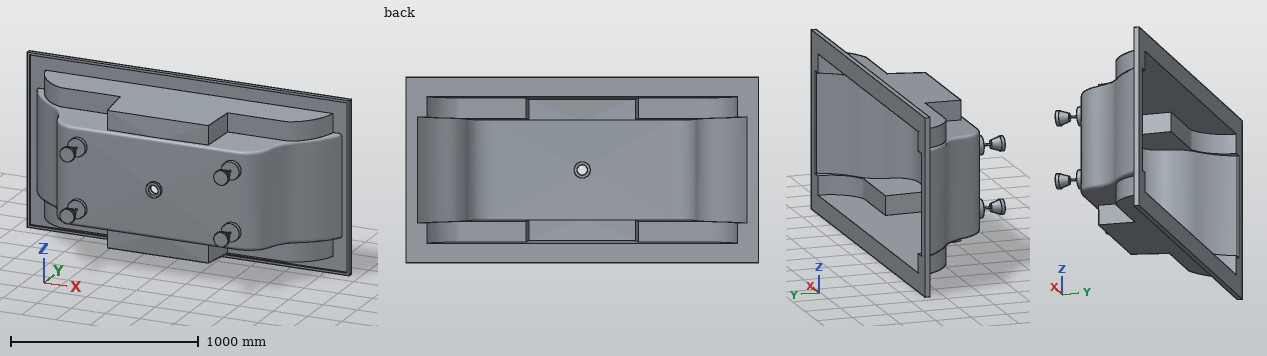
import cadquery as cq
import math


RIM_LENGTH = 1880.0
RIM_HEIGHT = 990.0
RIM_DEPTH = 28.0
WALL = 13.0

TROUGH_DEPTH = 459.0
TROUGH_FLAT_X = 472.0
TROUGH_HIP_X, TROUGH_HIP_DEPTH = 625.0, 337.0
TROUGH_BEND_X, TROUGH_BEND_DEPTH = 724.0, 195.0
TROUGH_RIM_X = 891.0
TROUGH_RIM_Z, TROUGH_FLOOR_Z = 297.0, 278.0
TROUGH_FILLET = 17.0
TROUGH_DRAFT = math.atan((TROUGH_RIM_Z - TROUGH_FLOOR_Z) / TROUGH_DEPTH)
TROUGH_FLAT_Z = TROUGH_FLOOR_Z - TROUGH_FILLET * math.tan(math.pi / 4 - TROUGH_DRAFT / 2)
FLOOR_FALL = 8.0

SEAT_DEPTH = 215.0
SEAT_FLAT_X = 649.0
SEAT_BEND_X, SEAT_BEND_DEPTH = 677.0, 209.0
SEAT_RIM_X = 840.0

WELL_DEPTH = 423.0
WELL_TOP_X, WELL_FLOOR_X = 314.0, 295.0
WELL_FALL = 8.0
WELL_RIDGE_Z = 263.0

SIDE_RIM_Z, SIDE_FLOOR_Z = 405.0, 390.0

DRAIN_DIAMETER = 86.0
DRAIN_BORE = 55.0
DRAIN_START_DEPTH = TROUGH_DEPTH + FLOOR_FALL - WALL
DRAIN_END_DEPTH = 483.0

FOOT_X, FOOT_Z = 450.0, 175.0
PAD_DIAMETER = 103.0
PAD_START_DEPTH = TROUGH_DEPTH - WALL / 2
PAD_END_DEPTH = 483.0
ROD_DIAMETER = 11.0
CONE_START_DEPTH = 538.0
CONE_TOP_DIAMETER, CONE_BASE_DIAMETER = 45.0, 77.0
SOLE_DIAMETER = 83.0
SOLE_START_DEPTH = 587.0
TOTAL_DEPTH = 605.0


def basin_outline(top, flat_x, depth, bends):
    """XY outline, symmetric about x = 0: a flat floor with tangent arcs through the bends up to the rim."""
    half = cq.Workplane("XY").moveTo(0, -depth).lineTo(flat_x, -depth)
    for x, bend_depth in bends:
        half = half.tangentArcPoint((x, -bend_depth), relative=False)
    rim_x = bends[-1][0]
    return half.lineTo(rim_x, top).lineTo(0, top).mirrorY()


def drafted_sides(top, rim_z, floor_z, depth):
    """YZ outline of a pair of drafted side walls and the floor between them."""
    right_side = [(top, rim_z), (-depth, floor_z)]
    left_side = [(y, -z) for y, z in reversed(right_side)]
    return cq.Workplane("YZ").polyline(right_side + left_side).close()


def crossed(outline_xy, outline_yz, inset):
    """Solid with one outline swept along Z and another along X, both moved inwards by inset.

    The outlines start at y = inset, so that the moved ones still reach the rim face at y = 0.
    """
    if inset > 0:
        outline_xy = outline_xy.offset2D(-inset)
        outline_yz = outline_yz.offset2D(-inset)
    along_z = outline_xy.extrude(RIM_HEIGHT / 2, both=True)
    along_x = outline_yz.extrude(RIM_LENGTH / 2, both=True)
    return along_z.intersect(along_x)


def hip_floor(base_depth, half_x, half_z, ridge_z, fall):
    """Shallow hipped wedge on a floor: four planes that meet in a ridge, or in a point if ridge_z is 0."""
    low_depth = base_depth + fall
    end_points = [(-half_x, -base_depth), (half_x, -base_depth), (0, -low_depth)]
    ends = cq.Workplane("XY").polyline(end_points).close()
    side_points = [(-base_depth, -half_z), (-base_depth, half_z), (-low_depth, ridge_z)]
    if ridge_z > 0:
        side_points.append((-low_depth, -ridge_z))
    sides = cq.Workplane("YZ").polyline(side_points).close()
    return ends.extrude(half_z, both=True).intersect(sides.extrude(half_x, both=True))


def trough(inset):
    """S-shaped main trough with rounded outer side edges and a floor that falls to the drain."""
    bends = [
        (TROUGH_HIP_X, TROUGH_HIP_DEPTH),
        (TROUGH_BEND_X, TROUGH_BEND_DEPTH),
        (TROUGH_RIM_X, WALL),
    ]
    outline = basin_outline(inset, TROUGH_FLAT_X, TROUGH_DEPTH, bends)
    sides = drafted_sides(inset, TROUGH_RIM_Z, TROUGH_FLOOR_Z, TROUGH_DEPTH)
    body = crossed(outline, sides, inset)
    if inset == 0:
        body = body.edges("not(|Z or >Y)").fillet(TROUGH_FILLET)
    return body.union(hip_floor(TROUGH_DEPTH - inset, TROUGH_FLAT_X, TROUGH_FLAT_Z, 0, FLOOR_FALL))


def seat(inset):
    """Wide, shallow seat behind the trough."""
    bends = [(SEAT_BEND_X, SEAT_BEND_DEPTH), (SEAT_RIM_X, WALL)]
    outline = basin_outline(inset, SEAT_FLAT_X, SEAT_DEPTH, bends)
    return crossed(outline, drafted_sides(inset, SIDE_RIM_Z, SIDE_FLOOR_Z, WELL_DEPTH), inset)


def well(inset):
    """Central well below the seat with drafted walls and a hipped floor."""
    right_side = [(WELL_TOP_X, inset), (WELL_TOP_X, -SEAT_DEPTH), (WELL_FLOOR_X, -WELL_DEPTH)]
    left_side = [(-x, y) for x, y in reversed(right_side)]
    outline = cq.Workplane("XY").polyline(right_side + left_side).close()
    body = crossed(outline, drafted_sides(inset, SIDE_RIM_Z, SIDE_FLOOR_Z, WELL_DEPTH), inset)
    floor = hip_floor(
        WELL_DEPTH - inset, WELL_FLOOR_X - inset, SIDE_FLOOR_Z - inset, WELL_RIDGE_Z, WELL_FALL
    )
    return body.union(floor)


def basin(inset):
    """Trough, seat and well together; inset 0 gives the outside and WALL gives the inside."""
    return trough(inset).union(seat(inset)).union(well(inset))


def rim():
    """Flat rim plate with a lip turned down all round."""
    plate = cq.Workplane("XZ").rect(RIM_LENGTH, RIM_HEIGHT).extrude(RIM_DEPTH)
    recess = (
        cq.Workplane("XZ", origin=(0, -WALL, 0))
        .rect(RIM_LENGTH - 2 * WALL, RIM_HEIGHT - 2 * WALL)
        .extrude(RIM_DEPTH - WALL)
    )
    return plate.cut(recess)


def turned(points, x, z):
    """Body of revolution about an axis along -Y at (x, z); points are (radius, depth)."""
    profile = cq.Workplane("YZ").polyline([(-depth, radius) for radius, depth in points]).close()
    return profile.revolve(360, (0, 0), (1, 0)).translate((x, 0, z))


def foot(x, z):
    """Mounting pad, threaded rod and conical foot, all in one turned piece."""
    points = [
        (0, PAD_START_DEPTH),
        (PAD_DIAMETER / 2, PAD_START_DEPTH),
        (PAD_DIAMETER / 2, PAD_END_DEPTH),
        (ROD_DIAMETER / 2, PAD_END_DEPTH),
        (ROD_DIAMETER / 2, CONE_START_DEPTH),
        (CONE_TOP_DIAMETER / 2, CONE_START_DEPTH),
        (CONE_BASE_DIAMETER / 2, SOLE_START_DEPTH),
        (SOLE_DIAMETER / 2, SOLE_START_DEPTH),
        (SOLE_DIAMETER / 2, TOTAL_DEPTH),
        (0, TOTAL_DEPTH),
    ]
    return turned(points, x, z)


def bath_tub():
    """Thin-walled tub with its rim, its four feet and the hole for the drain."""
    tub = rim().union(basin(0)).cut(basin(WALL))
    for x in (-FOOT_X, FOOT_X):
        for z in (-FOOT_Z, FOOT_Z):
            tub = tub.union(foot(x, z))
    drain_hole = cq.Workplane("XZ").circle(DRAIN_DIAMETER / 2).extrude(DRAIN_END_DEPTH)
    return tub.cut(drain_hole)


def drain_collar():
    """Tube that fills the drain hole and stands out below the floor."""
    ring = cq.Workplane("XZ", origin=(0, -DRAIN_START_DEPTH, 0))
    ring = ring.circle(DRAIN_DIAMETER / 2).circle(DRAIN_BORE / 2)
    return ring.extrude(DRAIN_END_DEPTH - DRAIN_START_DEPTH)


tub = bath_tub()
collar = drain_collar()

result = cq.Compound.makeCompound([tub.val(), collar.val()])